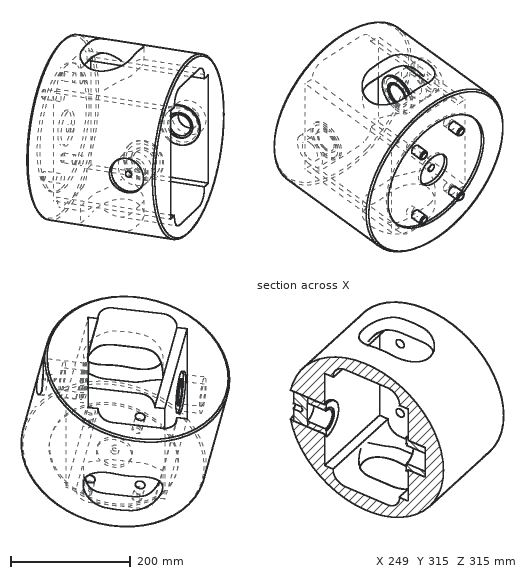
import cadquery as cq
import math

DRUM_RADIUS = 157.5
BACK_X = -107.0
FRONT_X = 124.5
RIM_CHAMFER = 3.0

RECESS_RADIUS = 110.0
RECESS_DEPTH = 5.0
CENTRE_POCKET_RADIUS = 30.2
CENTRE_POCKET_DEPTH = 6.0
CENTRE_BORE_RADIUS = 6.5

WINDOW_X = -15.8
WINDOW_WIDTH = 90.0
WINDOW_LENGTH = 134.2

BACK_WALL_THICKNESS = 14.0
TALL_WIDTH = WINDOW_LENGTH
TALL_HEIGHT = 250.0
TALL_FILLET = 25.0
WIDE_WIDTH = 168.8
WIDE_HEIGHT = 196.5

STUD_RADIUS = 8.2
STUD_CHAMFER = 2.2
STUD_TIP_X = -124.5
STUD_SPACING_Y = 85.0
STUD_SPACING_Z = 148.7

AXIS_X = 74.3
SEAT_RADIUS = 31.0
SEAT_END_Y = 119.7
FLANGE_RADIUS = 35.5
FLANGE_THICKNESS = 3.8
BUSH_BORE_RADIUS = 19.0
BUSH_COUNTERBORE_RADIUS = 22.7
BUSH_COUNTERBORE_DEPTH = 1.5
PLUG_FACE_Y = -148.5
PLUG_HOLE_RADIUS = 5.5
PLUG_HOLE_DEPTH = 15.8
DRILL_POINT_ANGLE = 118.0

WALL_Y = WIDE_WIDTH / 2
RECESS_FLOOR_X = BACK_X + RECESS_DEPTH
CAVITY_BACK_X = RECESS_FLOOR_X + BACK_WALL_THICKNESS
STUD_PLACES = [
    (side_y * STUD_SPACING_Y / 2, side_z * STUD_SPACING_Z / 2)
    for side_y in (-1, 1)
    for side_z in (-1, 1)
]


def cylinder_x(radius, start_x, end_x, y=0, z=0):
    """Cylinder along X between two X positions."""
    return cq.Workplane("YZ", origin=(start_x, y, z)).circle(radius).extrude(end_x - start_x)


def cylinder_y(radius, start_y, end_y):
    """Cylinder along the cross axis between two Y positions."""
    return cq.Workplane("XZ", origin=(AXIS_X, start_y, 0)).circle(radius).extrude(start_y - end_y)


def make_cavity():
    length = FRONT_X - CAVITY_BACK_X
    base = cq.Workplane("YZ", origin=(CAVITY_BACK_X, 0, 0))
    tall = base.rect(TALL_WIDTH, TALL_HEIGHT).extrude(length).edges("|X").fillet(TALL_FILLET)
    wide = base.rect(WIDE_WIDTH, WIDE_HEIGHT).extrude(length)
    return tall.union(wide)


def make_window():
    plane = cq.Workplane("XY", origin=(WINDOW_X, 0, -DRUM_RADIUS))
    return plane.slot2D(WINDOW_LENGTH, WINDOW_WIDTH, 90).extrude(2 * DRUM_RADIUS)


def make_housing():
    drum = cylinder_x(DRUM_RADIUS, BACK_X, FRONT_X).faces("<X or >X").edges().chamfer(RIM_CHAMFER)
    drum = drum.cut(make_cavity()).cut(make_window())
    drum = drum.cut(cylinder_x(RECESS_RADIUS, BACK_X, RECESS_FLOOR_X))
    drum = drum.cut(cylinder_x(CENTRE_POCKET_RADIUS, BACK_X, RECESS_FLOOR_X + CENTRE_POCKET_DEPTH))
    drum = drum.cut(cylinder_x(CENTRE_BORE_RADIUS, BACK_X, CAVITY_BACK_X))
    for y, z in STUD_PLACES:
        drum = drum.cut(cylinder_x(STUD_RADIUS, BACK_X, CAVITY_BACK_X, y, z))
    return drum.cut(cylinder_y(SEAT_RADIUS, -DRUM_RADIUS, -WALL_Y)).cut(
        cylinder_y(SEAT_RADIUS, WALL_Y, SEAT_END_Y)
    )


def make_stud(y, z):
    return cylinder_x(STUD_RADIUS, STUD_TIP_X, CAVITY_BACK_X, y, z).faces("<X").chamfer(STUD_CHAMFER)


def make_bush():
    """Flanged bush on the +Y side, its flange resting on the cavity wall."""
    face_y = WALL_Y - FLANGE_THICKNESS
    bush = cylinder_y(FLANGE_RADIUS, face_y, WALL_Y).union(cylinder_y(SEAT_RADIUS, WALL_Y, SEAT_END_Y))
    bush = bush.cut(cylinder_y(BUSH_BORE_RADIUS, face_y, SEAT_END_Y))
    return bush.cut(cylinder_y(BUSH_COUNTERBORE_RADIUS, face_y, face_y + BUSH_COUNTERBORE_DEPTH))


def make_plug():
    """Plug with a blind hole that ends in a drill point."""
    point_y = PLUG_FACE_Y + PLUG_HOLE_DEPTH
    point_length = PLUG_HOLE_RADIUS / math.tan(math.radians(DRILL_POINT_ANGLE / 2))
    point = cq.Solid.makeCone(
        PLUG_HOLE_RADIUS, 0, point_length, cq.Vector(AXIS_X, point_y, 0), cq.Vector(0, 1, 0)
    )
    plug = cylinder_y(SEAT_RADIUS, PLUG_FACE_Y, -SEAT_END_Y)
    return plug.cut(cylinder_y(PLUG_HOLE_RADIUS, PLUG_FACE_Y, point_y)).cut(cq.Workplane(point))


housing = make_housing()
studs = [make_stud(y, z) for y, z in STUD_PLACES]
positive_y_bush = make_bush()
negative_y_bush = positive_y_bush.mirror("XZ")
plug = make_plug()

result = cq.Compound.makeCompound(
    [
        housing.val(),
        *[stud.val() for stud in studs],
        positive_y_bush.val(),
        negative_y_bush.val(),
        plug.val(),
    ]
)